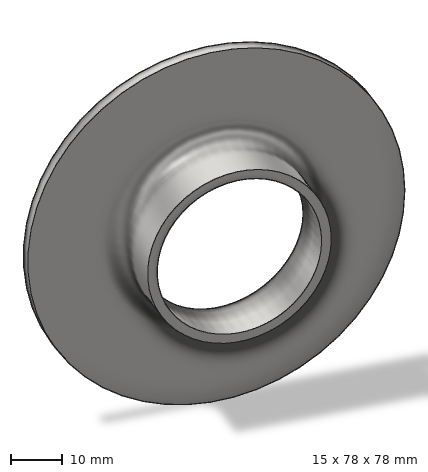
import cadquery as cq
import math

flange_diameter = 78.0
flange_thickness = 2.5
collar_diameter = 38.0
bore_diameter = 34.0
total_length = 15.0
throat_radius = 6.0
neck_radius = 4.0

flange_outer_radius = flange_diameter / 2
collar_outer_radius = collar_diameter / 2
bore_radius = bore_diameter / 2


def quarter_arc_middle(center_x, center_y, radius):
    """Middle of the quarter arc that faces -X and the turning axis."""
    offset = radius * math.cos(math.radians(45))
    return (center_x - offset, center_y - offset)


throat_end_x = throat_radius
throat_mouth_radius = bore_radius + throat_radius
throat_middle = quarter_arc_middle(throat_end_x, throat_mouth_radius, throat_radius)

neck_end_x = flange_thickness + neck_radius
neck_root_radius = collar_outer_radius + neck_radius
neck_middle = quarter_arc_middle(neck_end_x, neck_root_radius, neck_radius)

half_section = (
    cq.Workplane("XY")
    .moveTo(0, throat_mouth_radius)
    .threePointArc(throat_middle, (throat_end_x, bore_radius))
    .lineTo(total_length, bore_radius)
    .lineTo(total_length, collar_outer_radius)
    .lineTo(neck_end_x, collar_outer_radius)
    .threePointArc(neck_middle, (flange_thickness, neck_root_radius))
    .lineTo(flange_thickness, flange_outer_radius)
    .lineTo(0, flange_outer_radius)
    .close()
)

result = half_section.revolve(360, (0, 0, 0), (1, 0, 0))